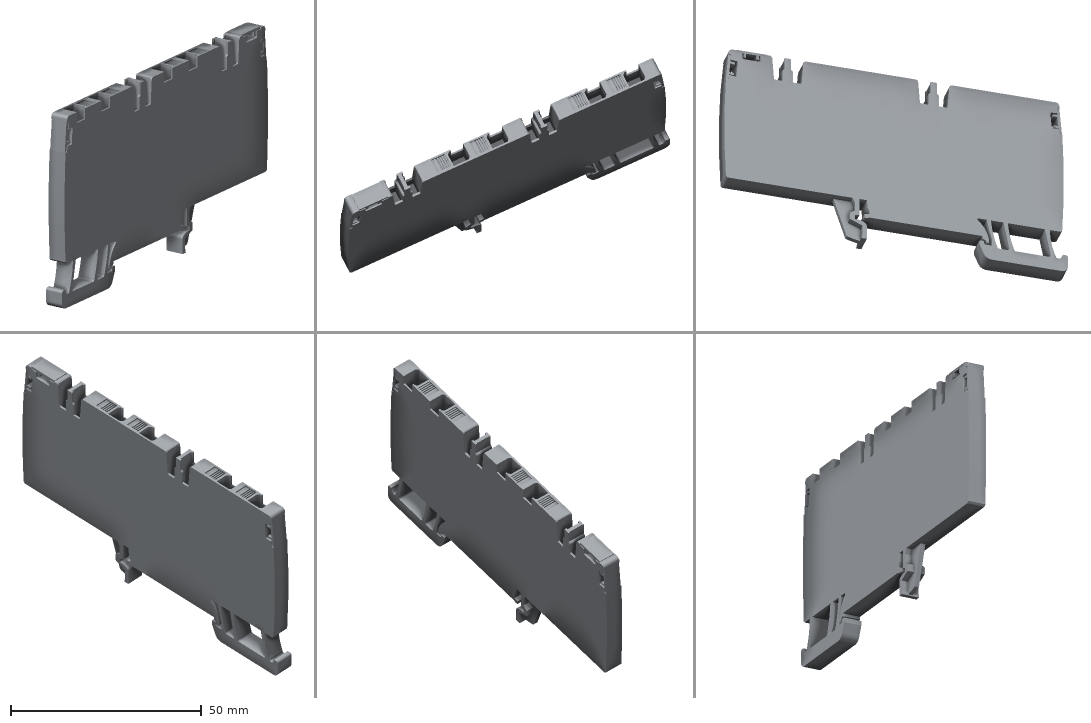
import cadquery as cq
import math


thickness = 5.1
overall_length = 93.85
overall_height = 53.19

body_bottom = 12.31
body_top = 52.95
body_back = overall_length
body_front = 1.13
bulge_middle = 28.3
bulge_depth = 0.45
bulge_bottom = body_bottom + 0.7
bulge_top = 43.2
lean_top_inset = 1.33
top_corner_radius = 1.0
bottom_corner_cut = 0.5

base_bottom = 6.96
seat_lip_back = 55.59
seat_front = 23.37
seat_nose_front = 21.61
seat_nose_root = 24.7

slot_pair_positions = (76.5, 36.65)
slot_depth = 7.3
slot_top_reach = 4.3
slot_floor_reach = 3.75
slot_mouth_radius = 0.7
slot_floor_radius = 0.4
tooth_tip_half = 0.85
tooth_root_half = 1.4
tooth_step_depth = 3.65
tooth_step_height = 0.45
pocket_width = 3.9
pocket_depth = slot_depth + 3.0
pocket_tip_half = 0.35
pocket_shoulder_half = 0.7
pocket_undercut = 0.15

well_edge_x = 2.1
first_pusher_offset = 11.0
pusher_pitch = 11.3
pusher_length = 4.05
pusher_width = 3.9
pusher_drop = 0.4
pusher_height = 12.0
groove_count = 4
groove_pitch = 0.65
groove_width = 0.35
groove_depth = 0.4
groove_start = 1.4
entry_offset = 5.15
entry_length = 4.95
entry_width = 4.15
entry_depth = 8.0
entry_corner = 0.6
entry_notch_length = 3.75
entry_notch_depth = 3.0

label_length = 8.4
label_width = 4.7
label_thickness = 0.75
label_edge_taper = 0.3
prong_inner = 1.4
prong_outer = 2.05
prong_length = 1.3
window_half_length = 2.45
window_depth = 1.95
window_radius = 0.4
top_label_y = 86.4
side_label_z = 47.25

latch_web_inset = 1.9
latch_strip_front = 54.94
latch_strip_neck = 56.97
latch_strip_root = 58.81
latch_strip_back = 58.1
latch_kink_back = 59.55
latch_tail_back = 56.1
latch_bottom = 0.1
latch_ramp_height = 5.75
latch_bend_radius = 1.2
latch_web_front = 57.6
latch_web_back = 63.48
fixed_foot_floor = 3.85
first_leg_back = 22.15
first_leg_foot = 20.76
catch_back = 24.16
catch_front = 23.0
catch_top = 5.49
catch_floor = 4.41
last_leg_front = 4.98
leg_openings = ((21.05, 17.62), (16.44, 6.31))
opening_back_run = 1.9
opening_front_run = 1.7
opening_back_bow = 0.3
opening_radius = 0.5
rail_nose_radius = 2.4
rail_heel_radius = 1.7
rail_lip_height = 5.23
rail_lip_radius = 0.7
root_overlap = 0.5

lean_angle = math.degrees(math.atan2(lean_top_inset - bulge_depth, body_top - bulge_top))


def plate(outline, width=thickness):
    """Extrude a closed YZ outline symmetrically about X = 0."""
    return outline.close().extrude(width / 2, both=True)


def polygon(points, width=thickness):
    return plate(cq.Workplane("YZ").polyline(points), width)


def block(x_range, y_range, z_range):
    size = [high - low for low, high in (x_range, y_range, z_range)]
    corner = (x_range[0], y_range[0], z_range[0])
    return cq.Workplane("XY").box(*size, centered=False).translate(corner)


def round_edges(solid, points, radius):
    """Fillet the X-parallel edges that pass closest to the given (y, z) points."""
    for y, z in points:
        edge = solid.edges("|X").edges(cq.selectors.NearestToPointSelector((0, y, z)))
        solid = edge.fillet(radius)
    return solid


def housing_body():
    back_low = (body_back - bulge_depth, bulge_bottom)
    back_high = (body_back - bulge_depth, bulge_top)
    front_low = (body_front + bulge_depth, bulge_bottom)
    front_high = (body_front + bulge_depth, bulge_top)
    back_foot = (back_low[0], body_bottom)
    front_foot = (front_low[0], body_bottom)
    back_shoulder = (body_back - lean_top_inset, body_top)
    front_shoulder = (body_front + lean_top_inset, body_top)
    outline = (
        cq.Workplane("YZ")
        .moveTo(*front_foot)
        .lineTo(*back_foot)
        .lineTo(*back_low)
        .threePointArc((body_back, bulge_middle), back_high)
        .lineTo(*back_shoulder)
        .lineTo(*front_shoulder)
        .lineTo(*front_high)
        .threePointArc((body_front, bulge_middle), front_low)
    )
    body = plate(outline)
    body = round_edges(body, [back_shoulder, front_shoulder], top_corner_radius)
    return body.edges("|X and <Z").chamfer(bottom_corner_cut)


def base_block():
    """Rail seat between the feet: a hook lip at +Y and a curved nose at -Y."""
    nose_barb = (21.9, 4.95)
    nose_flank = (22.6, 9.2)
    outline = (
        cq.Workplane("YZ")
        .moveTo(latch_strip_front, body_bottom + root_overlap)
        .lineTo(latch_strip_front, body_bottom)
        .lineTo(54.71, 10.04)
        .lineTo(54.14, 8.77)
        .lineTo(54.29, 8.01)
        .lineTo(seat_lip_back, 7.84)
        .lineTo(seat_lip_back, 6.9)
        .lineTo(55.36, 6.68)
        .lineTo(54.57, 6.68)
        .lineTo(54.29, base_bottom)
        .lineTo(seat_front, base_bottom)
        .lineTo(seat_front, 6.17)
        .lineTo(22.55, 5.8)
        .lineTo(*nose_barb)
        .lineTo(seat_nose_front, 5.23)
        .lineTo(seat_nose_front, 6.42)
        .threePointArc(nose_flank, (seat_nose_root, 11.88))
        .lineTo(seat_nose_root, body_bottom + root_overlap)
    )
    return plate(outline)


def latch_foot():
    """Movable foot: a bent strip backed by a thinner wedge-shaped web."""
    strip_bend = (latch_strip_front, 4.9)
    strip = polygon([
        (latch_strip_root, body_bottom + root_overlap),
        (latch_strip_root, body_bottom),
        (latch_strip_back, 10.89),
        (latch_strip_back, 8.49),
        (latch_kink_back, 7.55),
        (latch_kink_back, 5.52),
        (latch_tail_back, 4.1),
        (latch_tail_back, 1.41),
        (56.41, latch_bottom),
        (latch_strip_front, latch_bottom),
        strip_bend,
        (56.83, latch_ramp_height),
        (latch_strip_back, latch_ramp_height),
        (latch_strip_back, 6.96),
        (latch_strip_neck, 7.21),
        (latch_strip_neck, body_bottom + root_overlap),
    ])
    strip = round_edges(strip, [strip_bend], latch_bend_radius)
    web = polygon([
        (latch_web_back, body_bottom + root_overlap),
        (latch_web_back, body_bottom),
        (59.92, 1.41),
        (59.52, 1.13),
        (57.71, 0.65),
        (56.2, 0.4),
        (latch_tail_back, 4.1),
        (latch_strip_back, latch_ramp_height),
        (latch_strip_back, 6.96),
        (latch_web_front, 7.21),
        (latch_web_front, body_bottom + root_overlap),
    ], thickness - 2 * latch_web_inset)
    return strip.union(web)


def fixed_foot():
    """Foot rail with a hooked nose, hung from the body by three curved legs."""
    rail_nose = (22.37, 0)
    rail_heel = (0, 0)
    rail_lip = (0, rail_lip_height)
    outline = (
        cq.Workplane("YZ")
        .moveTo(first_leg_back, body_bottom + root_overlap)
        .lineTo(first_leg_back, body_bottom)
        .threePointArc((21.6, 9.6), (first_leg_foot, 6.42))
        .lineTo(first_leg_foot, catch_floor)
        .lineTo(22.55, catch_floor)
        .lineTo(catch_front, 4.95)
        .lineTo(catch_front, catch_top)
        .lineTo(catch_back, catch_top)
        .lineTo(catch_back, 4.16)
        .lineTo(*rail_nose)
        .lineTo(*rail_heel)
        .lineTo(*rail_lip)
        .lineTo(1.39, rail_lip_height)
        .lineTo(1.58, 4.55)
        .lineTo(2.07, 3.88)
        .lineTo(3.11, 3.82)
        .lineTo(3.54, 4.81)
        .threePointArc((4.58, 8.54), (last_leg_front, body_bottom))
        .lineTo(last_leg_front, body_bottom + root_overlap)
    )
    foot = plate(outline)
    foot = round_edges(foot, [rail_nose], rail_nose_radius)
    foot = round_edges(foot, [rail_heel], rail_heel_radius)
    foot = round_edges(foot, [rail_lip], rail_lip_radius)
    for back_y, front_y in leg_openings:
        foot = foot.cut(leg_opening(back_y, front_y))
    return foot


def leg_opening(back_y, front_y):
    """Leaning opening between two legs, bowed on its +Y side."""
    back_middle = (back_y - opening_back_run / 2 + opening_back_bow, (body_bottom + fixed_foot_floor) / 2)
    outline = (
        cq.Workplane("YZ")
        .moveTo(back_y, body_bottom)
        .threePointArc(back_middle, (back_y - opening_back_run, fixed_foot_floor))
        .lineTo(front_y - opening_front_run, fixed_foot_floor)
        .lineTo(front_y, body_bottom)
    )
    return plate(outline).edges("|X and <Z").fillet(opening_radius)


def jumper_slot(center_y, side):
    """One slot on the given side (+1 or -1) of the stepped tooth."""
    floor = body_top - slot_depth
    step_low = body_top - tooth_step_depth - tooth_step_height / 2
    step_high = step_low + tooth_step_height

    def at(reach):
        return center_y + side * reach

    slot = polygon([
        (at(tooth_tip_half), body_top),
        (at(tooth_tip_half), step_high),
        (at(tooth_root_half), step_low),
        (at(tooth_root_half), floor),
        (at(slot_floor_reach), floor),
        (at(slot_top_reach), body_top),
    ])
    return round_edges(slot, [(at(slot_floor_reach), floor)], slot_floor_radius)


def slot_pocket(center_y, side):
    """Narrower pocket inside a slot; it thins the tooth and goes below the slot floor."""
    floor = body_top - slot_depth
    bottom = body_top - pocket_depth

    def at(reach):
        return center_y + side * reach

    if side > 0:
        step = body_top - tooth_step_depth
        tooth_side = [
            (at(pocket_shoulder_half), body_top),
            (at(pocket_shoulder_half), step),
            (at(tooth_root_half), step),
        ]
    else:
        tooth_side = [
            (at(pocket_tip_half), body_top),
            (at(tooth_root_half), floor),
        ]
    outer_side = [
        (at(tooth_root_half), bottom),
        (at(slot_floor_reach), bottom),
        (at(slot_floor_reach), floor),
        (at(slot_top_reach + pocket_undercut), body_top),
    ]
    return polygon(tooth_side + outer_side, pocket_width)


pusher_positions = [
    pair_y - first_pusher_offset - index * pusher_pitch
    for pair_y in slot_pair_positions
    for index in range(2)
]
pusher_x = (well_edge_x - pusher_width, well_edge_x)
pusher_floor = body_top - pusher_drop - pusher_height


def pusher_well(center_y):
    y_range = (center_y - pusher_length / 2, center_y + pusher_length / 2)
    return block(pusher_x, y_range, (pusher_floor, body_top))


def pusher(center_y):
    """Release pusher filling its well, with cross grooves in its top."""
    top = body_top - pusher_drop
    back = center_y + pusher_length / 2
    front = center_y - pusher_length / 2
    body = block(pusher_x, (front, back), (pusher_floor, top))
    for index in range(groove_count):
        groove_back = back - groove_start - index * groove_pitch
        groove = block(pusher_x, (groove_back - groove_width, groove_back), (top - groove_depth, top))
        body = body.cut(groove)
    return body


def wire_entry(pusher_y):
    """Entry pocket with two cut corners, and the lowered +X wall beside it."""
    center_y = pusher_y - entry_offset
    front = center_y - entry_length / 2
    x_range = (well_edge_x - entry_width, well_edge_x)
    y_range = (front, front + entry_length)
    pocket = block(x_range, y_range, (body_top - entry_depth, body_top))
    pocket = pocket.edges("|Z and ((>X and >Y) or (<X and <Y))").chamfer(entry_corner)
    notch = block(
        (0, thickness / 2),
        (front, front + entry_notch_length),
        (body_top - entry_notch_depth, body_top),
    )
    return pocket.union(notch)


def label_slab(width):
    """Plate lying flat about the origin with its outer face at Z = 0."""
    half = label_length / 2
    return polygon([
        (-half, 0),
        (-half, -label_thickness / 2),
        (-half + label_edge_taper, -label_thickness),
        (half - label_edge_taper, -label_thickness),
        (half, -label_thickness / 2),
        (half, 0),
    ], width)


def label():
    plate_body = label_slab(label_width)
    half_width = label_width / 2
    for inner, outer in ((prong_inner, prong_outer), (-prong_outer, -prong_inner)):
        prong = block(
            (-half_width, half_width),
            (inner, outer),
            (-label_thickness - prong_length, -label_thickness),
        )
        plate_body = plate_body.union(prong)
    return plate_body


def label_seat():
    """Recess for the plate and the window its prongs snap into."""
    half_thickness = thickness / 2
    window = block(
        (-half_thickness, half_thickness),
        (-window_half_length, window_half_length),
        (-label_thickness - window_depth, -label_thickness / 2),
    )
    window = window.edges("|X and <Z").fillet(window_radius)
    return label_slab(thickness).union(window)


side_label_inset = bulge_depth + (side_label_z - bulge_top) * math.tan(math.radians(lean_angle))
label_places = {
    "top": (0, top_label_y, overall_height),
    "back": (lean_angle - 90, body_back - side_label_inset, side_label_z),
    "front": (90 - lean_angle, body_front + side_label_inset, side_label_z),
}


def place(solid, turn, y, z):
    return solid.rotate((0, 0, 0), (1, 0, 0), turn).translate((0, y, z))


housing = housing_body().union(base_block()).union(latch_foot()).union(fixed_foot())
for pair_y in slot_pair_positions:
    for side in (1, -1):
        mouth_edge = (pair_y + side * slot_top_reach, body_top)
        housing = housing.cut(jumper_slot(pair_y, side))
        housing = round_edges(housing, [mouth_edge], slot_mouth_radius)
        housing = housing.cut(slot_pocket(pair_y, side))
for pusher_y in pusher_positions:
    housing = housing.cut(pusher_well(pusher_y))
    housing = housing.cut(wire_entry(pusher_y))
for turn, y, z in label_places.values():
    housing = housing.cut(place(label_seat(), turn, y, z))

pushers = [pusher(pusher_y) for pusher_y in pusher_positions]
labels = [place(label(), *placement) for placement in label_places.values()]

result = cq.Compound.makeCompound([
    housing.val(),
    *[body.val() for body in pushers],
    *[body.val() for body in labels],
])